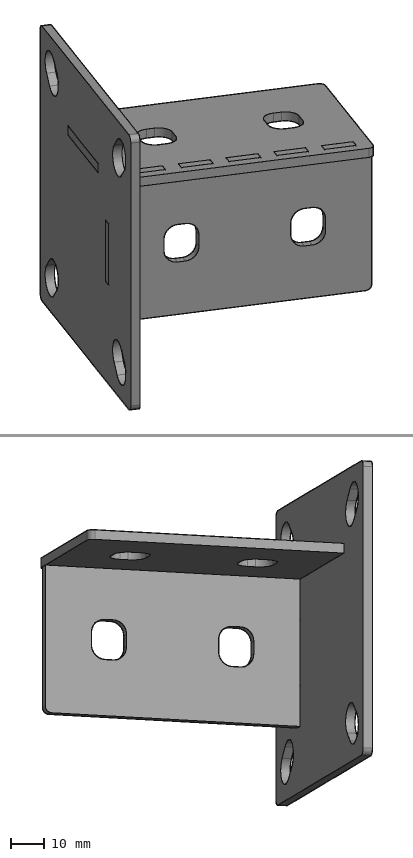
import cadquery as cq
plate_size = 90.0
sheet = 3.0
corner_radius = 2.0

mount_slot_width = 10.0
mount_slot_length = 14.2
mount_slot_offset = 33.5
mount_slot_tilt = 45.0

overall_depth = 83.0
shelf_left = -25.0
shelf_right = 26.2
shelf_underside = 20.0
web_left = 20.0
web_bottom = -25.0

shelf_tab_length = 30.0
shelf_tab_center_x = -2.5
web_front_tab_length = 20.0
web_front_tab_center_z = -2.5
web_top_tab_length = 10.0
web_top_tab_pitch = 15.0
web_top_tab_count = 5

bolt_hole_along = 11.0
bolt_hole_across = 12.2
bolt_hole_corner_radius = 4.2
bolt_hole_center = -1.7
bolt_hole_pitch = 40.0

shelf_top = shelf_underside + sheet
web_right = web_left + sheet
flange_mid_y = (sheet + overall_depth) / 2
bolt_hole_ys = [flange_mid_y - bolt_hole_pitch / 2, flange_mid_y + bolt_hole_pitch / 2]


def box(x_range, y_range, z_range):
    """Box between the given (low, high) limits along each axis."""
    lows, highs = zip(x_range, y_range, z_range)
    sizes = [high - low for low, high in zip(lows, highs)]
    return cq.Workplane("XY").box(*sizes, centered=False).translate(lows)


def span(center, length):
    """Low and high limits of a length placed about its centre."""
    return (center - length / 2, center + length / 2)


def shelf_tab():
    """Tab at the front of the shelf that fills a slot in the base plate."""
    return box(span(shelf_tab_center_x, shelf_tab_length), (0, sheet), (shelf_underside, shelf_top))


def web_front_tab():
    """Tab at the front of the web that fills a slot in the base plate."""
    return box((web_left, web_right), (0, sheet), span(web_front_tab_center_z, web_front_tab_length))


def web_top_tabs():
    """Row of tabs on top of the web that fill slots in the shelf."""
    first_y = flange_mid_y - web_top_tab_pitch * (web_top_tab_count - 1) / 2
    return [
        box(
            (web_left, web_right),
            span(first_y + index * web_top_tab_pitch, web_top_tab_length),
            (shelf_underside, shelf_top),
        )
        for index in range(web_top_tab_count)
    ]


def mount_slot(side_x, side_z):
    """Cutter for the diagonal slot in the corner given by the signs of X and Z."""
    return (
        cq.Workplane("XZ")
        .center(side_x * mount_slot_offset, side_z * mount_slot_offset)
        .slot2D(mount_slot_length, mount_slot_width, angle=mount_slot_tilt * side_x * side_z)
        .extrude(-sheet)
    )


def make_base_plate():
    """Square plate with four mounting slots and a slot for the front tab of each flange."""
    plate = box(span(0, plate_size), (0, sheet), span(0, plate_size))
    plate = plate.edges("|Y").fillet(corner_radius)
    for side_x in (-1, 1):
        for side_z in (-1, 1):
            plate = plate.cut(mount_slot(side_x, side_z))
    return plate.cut(shelf_tab()).cut(web_front_tab())


def make_shelf():
    """Horizontal flange with two bolt holes and slots for the top tabs of the web."""
    plate = box((shelf_left, shelf_right), (sheet, overall_depth), (shelf_underside, shelf_top))
    plate = plate.edges("|Z and >Y").fillet(corner_radius)
    for hole_y in bolt_hole_ys:
        hole = box(
            span(bolt_hole_center, bolt_hole_across),
            span(hole_y, bolt_hole_along),
            (shelf_underside, shelf_top),
        )
        plate = plate.cut(hole.edges("|Z").fillet(bolt_hole_corner_radius))
    for tab in web_top_tabs():
        plate = plate.cut(tab)
    return plate.union(shelf_tab())


def make_web():
    """Vertical flange under the shelf, with two bolt holes and tabs on its top and front."""
    plate = box((web_left, web_right), (sheet, overall_depth), (web_bottom, shelf_underside))
    plate = plate.edges("|X and >Y and <Z").fillet(corner_radius)
    for hole_y in bolt_hole_ys:
        hole = box(
            (web_left, web_right),
            span(hole_y, bolt_hole_along),
            span(bolt_hole_center, bolt_hole_across),
        )
        plate = plate.cut(hole.edges("|X").fillet(bolt_hole_corner_radius))
    for tab in web_top_tabs():
        plate = plate.union(tab)
    return plate.union(web_front_tab())


base_plate = make_base_plate()
shelf = make_shelf()
web = make_web()

result = cq.Compound.makeCompound([base_plate.val(), shelf.val(), web.val()])